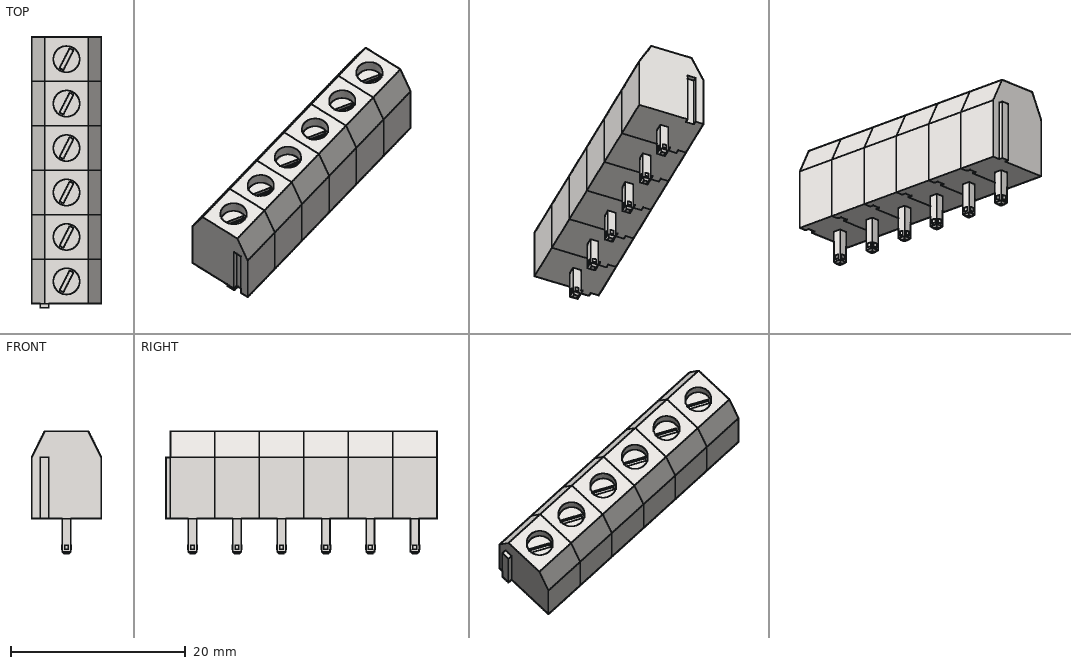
import cadquery as cq

module_count = 6
pitch = 5.08

width = 8.0
height = 10.0
slope_width = 1.5
shoulder_height = 7.0

well_diameter = 3.0
well_depth = 1.5
slot_length = 2.55
slot_width = 0.5
slot_depth = 0.5
slot_angle = 63

rib_width = 1.0
rib_depth = 0.5
rib_offset = 1.0

pin_width = 1.0
pin_length = 4.0
pin_chamfer = 0.25
collar_diameter = 1.08
collar_height = 0.5
pin_tip_to_collar = 0.5

half_width = width / 2
half_pitch = pitch / 2
rib_center_x = -half_width + rib_offset + rib_width / 2


def make_housing():
    """Prism with two sloped shoulders, extruded along Y over one pitch."""
    top_half_width = half_width - slope_width
    outline = [
        (-half_width, 0),
        (half_width, 0),
        (half_width, shoulder_height),
        (top_half_width, height),
        (-top_half_width, height),
        (-half_width, shoulder_height),
    ]
    return cq.Workplane("XZ").polyline(outline).close().extrude(half_pitch, both=True)


def make_rib(front_y):
    """Upright key bar that projects from the plane Y = front_y toward -Y."""
    return (
        cq.Workplane("XY")
        .center(rib_center_x, front_y - rib_depth / 2)
        .rect(rib_width, rib_depth)
        .extrude(shoulder_height)
    )


def make_screw_well():
    """Round well from the top face, with the driver slot sunk in its floor."""
    floor_z = height - well_depth
    well = cq.Workplane("XY").workplane(offset=floor_z).circle(well_diameter / 2).extrude(well_depth)
    slot = (
        cq.Workplane("XY")
        .workplane(offset=floor_z - slot_depth)
        .transformed(rotate=(0, 0, slot_angle))
        .rect(slot_length, slot_width)
        .extrude(slot_depth)
    )
    return well.union(slot)


def make_pin():
    """Square pin below the housing, chamfered at its tip, with a round collar bulging from its four flats."""
    pin = cq.Workplane("XY").rect(pin_width, pin_width).extrude(-pin_length)
    pin = pin.faces("<Z").chamfer(pin_chamfer)
    collar_bottom = pin_tip_to_collar - pin_length
    collar = (
        cq.Workplane("XY")
        .workplane(offset=collar_bottom)
        .circle(collar_diameter / 2)
        .extrude(collar_height)
    )
    return pin.union(collar)


def make_module():
    """One complete terminal module as a single solid."""
    return (
        make_housing()
        .cut(make_rib(half_pitch))
        .union(make_rib(-half_pitch))
        .cut(make_screw_well())
        .union(make_pin())
    )


modules = []
for index in range(module_count):
    module_y = (index - (module_count - 1) / 2) * pitch
    modules.append(make_module().translate((0, module_y, 0)).val())

result = cq.Compound.makeCompound(modules)